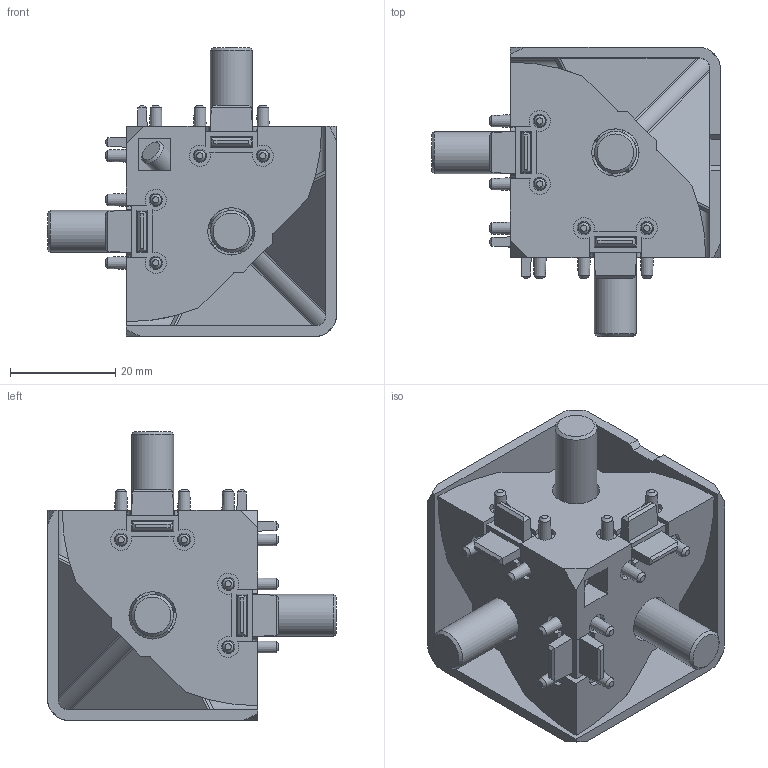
import cadquery as cq
import math

DIAGONAL = cq.Vector(1, 1, -1)
ORIGIN = cq.Vector(0, 0, 0)
core_side = cq.selectors.DirectionMinMaxSelector(DIAGONAL, False)

cube_size = 40.0
half = cube_size / 2
beyond = 4 * cube_size
wall = 2.0
outer_radius = 4.0
inner_radius = outer_radius - wall
rim_corner_radius = 31.6
rod_diameter = 5.0
rod_end = 15.3
rod_chamfer = 0.5
fin_thickness = 1.6
fin_chamfer = 0.3
fin_fillet = 0.3
fin_start = -4.6
notch_width = 7.0
notch_depth = 1.0

core_radius = 37.2
core_back = -11.65
pad_back = -10.0
pad_size = 15.5
corner_cut = 3.3
rod_hole_diameter = 5.4
window_size = 6.1
window_center = 14.65
window_depth = 12.0

recess_length = 10.0
recess_width = 5.0
recess_depth = 1.0
stud_height = 5.0
stud_draft = 2.0
stud_chamfer = 0.5
tab_length = 8.0
tab_thickness = 2.0
tab_inset = 3.0
peg_diameter = 2.5
peg_socket_diameter = 4.0
peg_offset = 6.0
peg_inset = 5.6

pin_diameter = 8.0
pin_hole_diameter = 9.0
pin_projection = 15.0
pin_inner_end = 10.0
pin_chamfer = 0.5


def three_times(shape):
    """The shape and its two copies turned around the body diagonal."""
    return [shape.rotate(ORIGIN, DIAGONAL, turn) for turn in (0, 120, 240)]


def on_diagonal(distance):
    """Workplane across the diagonal, facing the cover corner, where x + y - z equals distance."""
    center = DIAGONAL * (distance / 3)
    return cq.Workplane(cq.Plane(origin=center, xDir=(2, -1, 1), normal=DIAGONAL))


def core_side_of(distance):
    """Block that fills everything on the core side of the plane x + y - z = distance."""
    return on_diagonal(distance).rect(beyond, beyond).extrude(-beyond)


def on_front(depth=0.0):
    """Workplane on the -Y face of the cube or below it, facing outwards, with X right and Z up."""
    return cq.Workplane(cq.Plane(origin=(0, depth - half, 0), xDir=(1, 0, 0), normal=(0, -1, 0)))


def rounded_corner(size, radius):
    """Cube of the given size at the core corner, rounded on the edges of its cover corner."""
    shift = (size - cube_size) / 2
    cube = cq.Workplane("XY").box(size, size, size).translate((shift, shift, -shift))
    far_edges = cube.faces(">X or >Y or <Z").edges("(not <X) and (not <Y) and (not >Z)")
    return far_edges.fillet(radius)


def off_diagonal(point):
    """Distance of a point from the body diagonal."""
    return point.cross(DIAGONAL).Length / DIAGONAL.Length


def make_rod():
    length = (rod_end + half - wall) * math.sqrt(3)
    rod = on_diagonal(-3 * rod_end).circle(rod_diameter / 2).extrude(length)
    return rod.faces(core_side).chamfer(rod_chamfer)


def make_finned_rod():
    """The rod with three webs around it, filleted into it and chamfered on their free ends."""
    finned_rod = make_rod()
    fin = on_diagonal(fin_start).center(half, 0).rect(cube_size, fin_thickness).extrude(cube_size)
    fin = fin.faces(core_side).chamfer(fin_chamfer)
    for copy in three_times(fin.val()):
        finned_rod = finned_rod.union(cq.Workplane(copy))
    joints = finned_rod.edges(cq.selectors.ParallelDirSelector(DIAGONAL))
    joints = joints.filter(lambda edge: off_diagonal(edge.Center()) < rod_diameter)
    joints = joints.filter(lambda edge: edge.Center().dot(DIAGONAL) > fin_start)
    return joints.fillet(fin_fillet)


def make_cover():
    cavity_size = cube_size - wall
    cavity = rounded_corner(cavity_size, inner_radius)
    outside = rounded_corner(cube_size, outer_radius)
    cover = outside.cut(cavity).union(make_finned_rod().intersect(outside))
    trim = on_diagonal(0).circle(rim_corner_radius).extrude(beyond, both=True)
    notch = (
        cq.Workplane("YZ", origin=(half - 2 * wall, 0, half))
        .moveTo(-notch_width / 2, 0)
        .lineTo(notch_width / 2, 0)
        .lineTo(notch_width / 2 - notch_depth, -notch_depth)
        .lineTo(notch_depth - notch_width / 2, -notch_depth)
        .close()
        .extrude(4 * wall)
    )
    return cover.intersect(trim).cut(notch)


def make_peg():
    """Drafted peg with a conical tip, pointing to -Y from the origin."""
    shoulder_height = stud_height - stud_chamfer
    base_radius = peg_diameter / 2
    shoulder_radius = base_radius - shoulder_height * math.tan(math.radians(stud_draft))
    profile = [
        (0, 0),
        (base_radius, 0),
        (shoulder_radius, -shoulder_height),
        (shoulder_radius - stud_chamfer, -stud_height),
        (0, -stud_height),
    ]
    return cq.Workplane("XY").polyline(profile).close().revolve(360, (0, 0), (0, 1))


def peg_places():
    """X and Z of the four pegs on the -Y face."""
    along_top = [(side * peg_offset, half - peg_inset) for side in (-1, 1)]
    along_left = [(peg_inset - half, side * peg_offset) for side in (-1, 1)]
    return along_top + along_left


def make_front_studs():
    """Tabs and pegs of the -Y face, beside its top and its left edge."""
    base = on_front(recess_depth)
    studs = []
    for x, z, width, height in (
        (0, half - tab_inset, tab_length, tab_thickness),
        (tab_inset - half, 0, tab_thickness, tab_length),
    ):
        tab = base.center(x, z).rect(width, height).extrude(stud_height, taper=stud_draft)
        studs.append(tab.faces("<Y").chamfer(stud_chamfer))
    for x, z in peg_places():
        studs.append(make_peg().translate((x, recess_depth - half, z)))
    return studs


def make_front_cuts():
    """Recesses, peg sockets and pin hole of the -Y face."""
    floor = on_front(recess_depth)
    outward = recess_depth
    top = floor.center(0, half - recess_width / 2).rect(recess_length, recess_width).extrude(outward)
    left = floor.center(recess_width / 2 - half, 0).rect(recess_width, recess_length).extrude(outward)
    sockets = floor.pushPoints(peg_places()).circle(peg_socket_diameter / 2).extrude(outward)
    hole = on_front(cube_size).circle(pin_hole_diameter / 2).extrude(cube_size)
    return top.union(left).union(sockets).union(hole)


def make_core():
    cube = cq.Workplane("XY").box(cube_size, cube_size, cube_size)
    ball = cq.Workplane("XY").sphere(core_radius).translate((-half, -half, half))
    core = cube.intersect(ball).intersect(core_side_of(core_back))

    pad = on_front(half).rect(pad_size, pad_size).extrude(half).intersect(core_side_of(pad_back))
    for copy in three_times(pad.val()):
        core = core.union(cq.Workplane(copy))

    for copy in three_times(make_front_cuts().val()):
        core = core.cut(cq.Workplane(copy))
    for stud in make_front_studs():
        for copy in three_times(stud.val()):
            core = core.union(cq.Workplane(copy))

    core = core.cut(core_side_of(corner_cut - 3 * half))
    rod_hole = on_diagonal(-3 * rod_end).circle(rod_hole_diameter / 2).extrude(cube_size)
    window = on_front(window_depth).center(-window_center, window_center).rect(window_size, window_size)
    return core.cut(rod_hole).cut(window.extrude(window_depth))


def make_pins():
    length = half + pin_projection - pin_inner_end
    pin = on_front(half - pin_inner_end).circle(pin_diameter / 2).extrude(length)
    pin = pin.faces("<Y").chamfer(pin_chamfer)
    return three_times(pin.val())


core = make_core()
cover = make_cover()
pins = make_pins()

result = cq.Compound.makeCompound([core.val(), cover.val(), *pins])